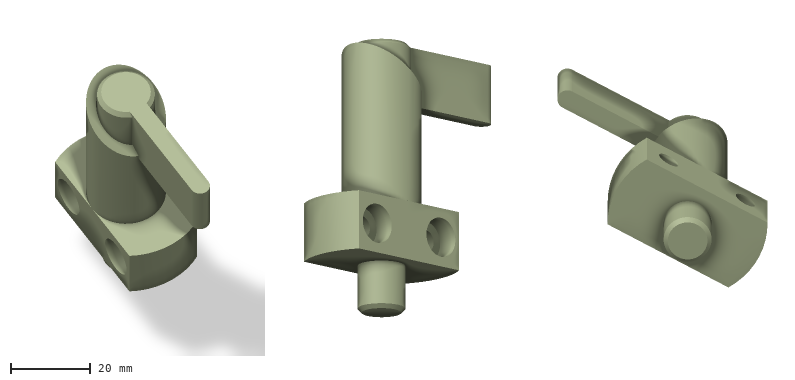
import cadquery as cq
import math

total_height = 69.0
block_bottom = 12.0
block_height = 15.0
block_top = block_bottom + block_height

sleeve_diameter = 20.0
block_width = sleeve_diameter
block_diameter = 2 * sleeve_diameter
sleeve_high_side = 67.7
slope_angle = 33.0
bore_diameter = 15.0

mount_spacing = 22.0
mount_hole_diameter = 5.5
counterbore_diameter = 10.0
counterbore_depth = 5.5

pin_diameter = 12.0
stem_diameter = 14.5
edge_chamfer = 1.05
lever_reach = 37.0
lever_thickness = 5.0
lever_height = 15.0
lever_bottom = total_height - lever_height


def cylinder(diameter, bottom, top):
    """Upright cylinder on the Z axis between two levels."""
    return cq.Workplane("XY").workplane(offset=bottom).circle(diameter / 2).extrude(top - bottom)


def make_lever():
    """Flat lever from the axis toward +X, with a fully rounded tip."""
    half_thickness = lever_thickness / 2
    straight_end = lever_reach - half_thickness
    return (
        cq.Workplane("XY")
        .workplane(offset=lever_bottom)
        .moveTo(0, -half_thickness)
        .lineTo(straight_end, -half_thickness)
        .threePointArc((lever_reach, 0), (straight_end, half_thickness))
        .lineTo(0, half_thickness)
        .close()
        .extrude(lever_height)
    )


def make_block():
    """Round block cut to two flat sides."""
    flats = (
        cq.Workplane("XY")
        .workplane(offset=block_bottom)
        .rect(block_diameter, block_width)
        .extrude(block_height)
    )
    return cylinder(block_diameter, block_bottom, block_top).intersect(flats)


def make_sleeve():
    """Cylinder whose top slopes down toward +X."""
    radius = sleeve_diameter / 2
    sleeve_low_side = sleeve_high_side - sleeve_diameter * math.tan(math.radians(slope_angle))
    slope_profile = (
        cq.Workplane("XZ")
        .polyline([
            (-radius, block_bottom),
            (radius, block_bottom),
            (radius, sleeve_low_side),
            (-radius, sleeve_high_side),
        ])
        .close()
        .extrude(radius, both=True)
    )
    return cylinder(sleeve_diameter, block_bottom, sleeve_high_side).intersect(slope_profile)


def cut_mounting_holes(body):
    """Two through holes, counterbored from the -Y flat."""
    return (
        body.copyWorkplane(
            cq.Workplane("XZ", origin=(0, -block_width / 2, block_bottom + block_height / 2))
        )
        .pushPoints([(-mount_spacing / 2, 0), (mount_spacing / 2, 0)])
        .cboreHole(mount_hole_diameter, counterbore_diameter, counterbore_depth)
    )


def make_housing():
    """Block and sleeve, bored for the stem and pin and notched for the lever."""
    body = make_block().union(make_sleeve())
    body = body.cut(cylinder(bore_diameter, block_top, total_height))
    body = body.cut(cylinder(pin_diameter, block_bottom, block_top))
    body = cut_mounting_holes(body)
    return body.cut(make_lever())


def make_plunger():
    """Pin resting on the bore floor by its stem shoulder, with the lever on top."""
    pin = cylinder(pin_diameter, 0, block_top).faces("<Z").chamfer(edge_chamfer)
    stem = cylinder(stem_diameter, block_top, total_height).faces(">Z").chamfer(edge_chamfer)
    return pin.union(stem).union(make_lever())


housing = make_housing()
plunger = make_plunger()

result = cq.Compound.makeCompound([housing.val(), plunger.val()])